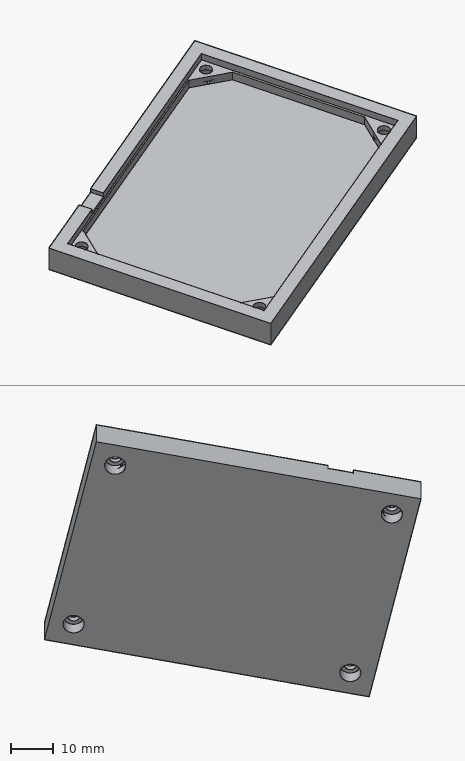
import cadquery as cq

length_x = 58.0
length_y = 78.0
height = 7.0

recess_x = 51.3
recess_y = 71.45
recess_depth = 2.0
pocket_x = 50.55
pocket_y = 70.35
floor_thickness = 2.5
corner_cut_x = 8.0
corner_cut_y = 6.95

hole_diameter = 3.0
hole_inset = 5.8
counterbore_diameter = 4.9
counterbore_depth = 3.5

notch_width = 6.1
notch_depth = 1.2
notch_center_y = -19.7


def leave_corner_posts(pocket):
    """Cut the pocket corners diagonally, leaving a triangular post in each."""
    half_x = pocket_x / 2
    half_y = pocket_y / 2
    for side_x in (-1, 1):
        for side_y in (-1, 1):
            post = (
                cq.Workplane("XY")
                .moveTo(side_x * half_x, side_y * half_y)
                .lineTo(side_x * (half_x - corner_cut_x), side_y * half_y)
                .lineTo(side_x * half_x, side_y * (half_y - corner_cut_y))
                .close()
                .extrude(height)
            )
            pocket = pocket.cut(post)
    return pocket


def main_pocket():
    pocket = (
        cq.Workplane("XY", origin=(0, 0, floor_thickness))
        .rect(pocket_x, pocket_y)
        .extrude(height - floor_thickness)
    )
    return leave_corner_posts(pocket)


def upper_recess():
    return (
        cq.Workplane("XY", origin=(0, 0, height - recess_depth))
        .rect(recess_x, recess_y)
        .extrude(recess_depth)
    )


def screw_holes():
    centers = cq.Workplane("XY").rect(
        length_x - 2 * hole_inset, length_y - 2 * hole_inset, forConstruction=True
    ).vertices()
    shafts = centers.circle(hole_diameter / 2).extrude(height)
    counterbores = centers.circle(counterbore_diameter / 2).extrude(counterbore_depth)
    return shafts.union(counterbores)


def wall_notch():
    wall_thickness = (length_x - recess_x) / 2
    return (
        cq.Workplane("XY", origin=(-length_x / 2, notch_center_y, height - notch_depth))
        .box(wall_thickness, notch_width, notch_depth, centered=(False, True, False))
    )


tray = cq.Workplane("XY").box(length_x, length_y, height, centered=(True, True, False))
result = tray.cut(main_pocket()).cut(screw_holes()).cut(wall_notch()).cut(upper_recess())